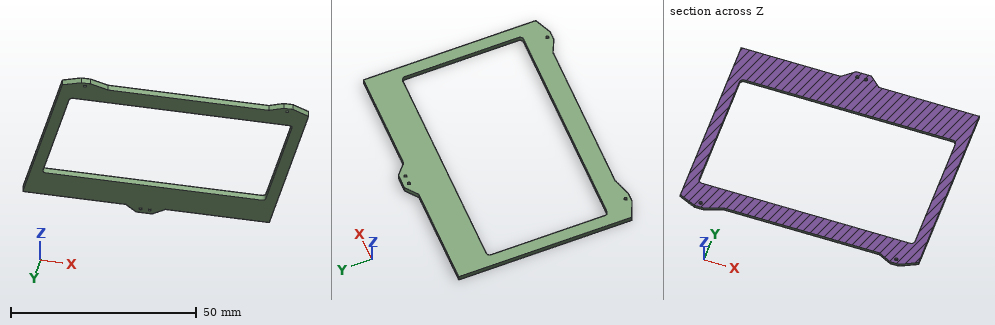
import cadquery as cq

width = 68.1
depth = 55.3
thickness = 1.6

left_corner_y = 2.05
right_corner_y = 2.25
bottom_rail_y = 1.8
top_rail_y = depth - 2.8

foot_tip_inset = 4.8
left_tip_length = 2.5
left_foot_end_x = 12.6
right_tip_length = 2.5
right_foot_start_x = 57.0

tab_base_start_x = 28.45
tab_tip_start_x = 31.9
tab_tip_end_x = 36.3
tab_base_end_x = 39.4

window_side_margin = 3.3
window_bottom_y = 7.55
window_top_y = depth - 12.5
window_corner_radius = 1.0

hole_diameter = 0.75
foot_hole_inset = 6.1
foot_hole_y = 1.35
tab_hole_spacing = 2.5
tab_hole_y = depth - 1.6


def make_plate():
    """Plate with two feet along the bottom and a tab on the top."""
    left_foot = [
        (0, left_corner_y),
        (foot_tip_inset, 0),
        (foot_tip_inset + left_tip_length, 0),
        (left_foot_end_x, bottom_rail_y),
    ]
    right_foot = [
        (right_foot_start_x, bottom_rail_y),
        (width - foot_tip_inset - right_tip_length, 0),
        (width - foot_tip_inset, 0),
        (width, right_corner_y),
    ]
    top_edge = [
        (width, top_rail_y),
        (tab_base_end_x, top_rail_y),
        (tab_tip_end_x, depth),
        (tab_tip_start_x, depth),
        (tab_base_start_x, top_rail_y),
        (0, top_rail_y),
    ]
    outline = left_foot + right_foot + top_edge
    return cq.Workplane("XY").polyline(outline).close().extrude(thickness)


def make_window():
    """Cutter for the window, with rounded corners."""
    window_width = width - 2 * window_side_margin
    window_depth = window_top_y - window_bottom_y
    return (
        cq.Workplane("XY")
        .box(window_width, window_depth, thickness, centered=False)
        .translate((window_side_margin, window_bottom_y, 0))
        .edges("|Z")
        .fillet(window_corner_radius)
    )


def make_holes():
    """Cutter for one hole in each foot and a pair in the tab."""
    centers = [
        (foot_hole_inset, foot_hole_y),
        (width - foot_hole_inset, foot_hole_y),
        ((width - tab_hole_spacing) / 2, tab_hole_y),
        ((width + tab_hole_spacing) / 2, tab_hole_y),
    ]
    return cq.Workplane("XY").pushPoints(centers).circle(hole_diameter / 2).extrude(thickness)


result = make_plate().cut(make_window()).cut(make_holes())